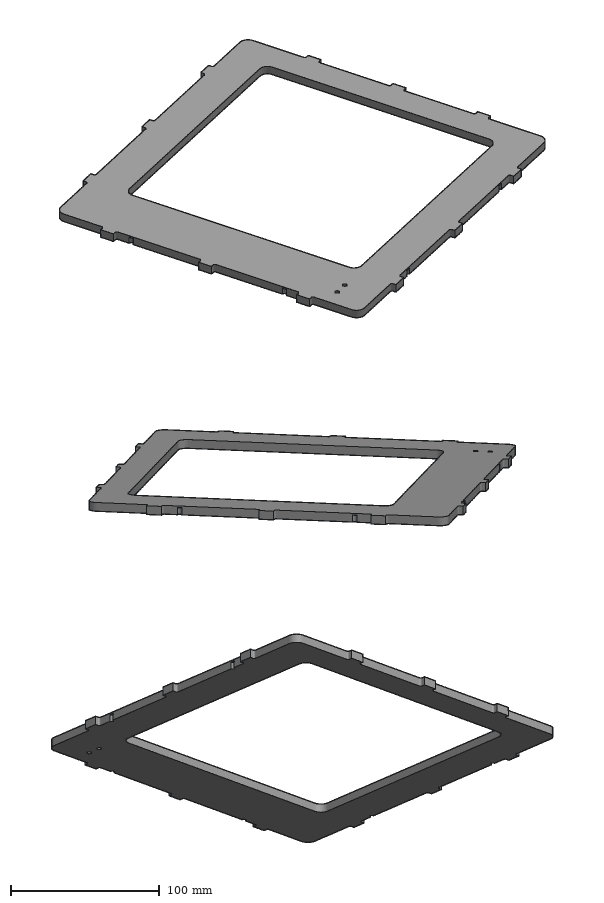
import cadquery as cq
import math

overall_width = 245.5
overall_length = 254.0
thickness = 6.0

tab_width = 10.2
tab_height = 3.5
tab_root_radius = 1.3
tab_spacing = 77.0
rear_tab_spacing = 66.5

body_width = overall_width - 2 * tab_height
body_length = overall_length - 2 * tab_height
body_corner_radius = 6.3

window_size = 182.0
window_shift = 11.2
window_corner_radius = 6.0

groove_diameter = 3.0
groove_roof = 1.3
groove_spacing = 60.2

hole_diameter = 3.0
hole_x = 93.5
hole_pair_y = -105.0
hole_pitch = 10.0

edges = [
    (0, body_width / 2, tab_spacing, True),
    (90, body_length / 2, rear_tab_spacing, False),
    (180, body_width / 2, tab_spacing, True),
    (270, body_length / 2, tab_spacing, True),
]


def place(solid, edge_angle, edge_distance, along):
    """Move a solid modeled on an edge facing +X to its place on the rim."""
    return solid.translate((edge_distance, along, 0)).rotate((0, 0, 0), (0, 0, 1), edge_angle)


def make_tab():
    """Tab pointing along +X, with concave fillets where it leaves the edge."""
    half = tab_width / 2
    flare = half + tab_root_radius
    bury = tab_height
    inset = tab_root_radius * (1 - math.sqrt(0.5))
    return (
        cq.Workplane("XY")
        .moveTo(-bury, -flare)
        .lineTo(0, -flare)
        .threePointArc((inset, -half - inset), (tab_root_radius, -half))
        .lineTo(tab_height, -half)
        .lineTo(tab_height, half)
        .lineTo(tab_root_radius, half)
        .threePointArc((inset, half + inset), (0, flare))
        .lineTo(-bury, flare)
        .close()
        .extrude(thickness)
    )


plate = (
    cq.Workplane("XY")
    .rect(body_width, body_length)
    .extrude(thickness)
    .edges("|Z")
    .fillet(body_corner_radius)
)

window = (
    cq.Workplane("XY")
    .center(0, window_shift)
    .rect(window_size, window_size)
    .extrude(thickness)
    .edges("|Z")
    .fillet(window_corner_radius)
)
plate = plate.cut(window)

tab = make_tab()
groove = cq.Workplane("XY").circle(groove_diameter / 2).extrude(thickness - groove_roof)
for angle, distance, spacing, grooved in edges:
    for along in (-spacing, 0, spacing):
        plate = plate.union(place(tab, angle, distance, along))
    if grooved:
        for along in (-groove_spacing, groove_spacing):
            plate = plate.cut(place(groove, angle, distance, along))

holes = (
    cq.Workplane("XY")
    .center(hole_x, hole_pair_y)
    .pushPoints([(0, -hole_pitch / 2), (0, hole_pitch / 2)])
    .circle(hole_diameter / 2)
    .extrude(thickness)
)
result = plate.cut(holes)